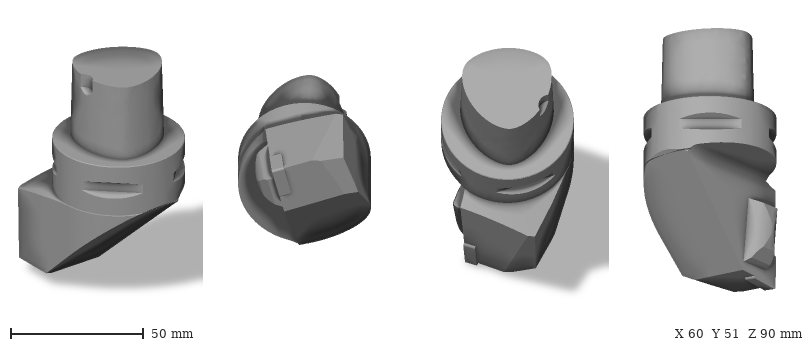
import cadquery as cq
import math

SHANK_HEIGHT = 30.1
SHANK_BASE_RADIUS = 17.6
SHANK_TAPER = 0.025
LOBE_HEIGHT = 1.3
LOBE_POINTS = 48

NOTCH_RADIUS = 4.3
NOTCH_Y = -17.9
NOTCH_DEPTH = 5.4
NOTCH_TIP_DEPTH = 3.6

FLANGE_RADIUS = 25.0
FLANGE_HEIGHT = 20.4
FLANGE_CHAMFER = 0.3

SLOT_COUNT = 4
SLOT_CENTRE_Z = -10.1
SLOT_FLOOR_RADIUS = 22.1
SLOT_FLOOR_WIDTH = 3.6
SLOT_MOUTH_WIDTH = 6.75
SLOT_DEPTH = FLANGE_RADIUS - SLOT_FLOOR_RADIUS

HEAD_BOTTOM = -63.0
HEAD_LEFT = -40.5
HEAD_BACK = 13.5
FRONT_Y = -26.0
FRONT_BLEND = 0.5
FRONT_LEFT_X = -27.5
FRONT_LOW_Z = -53.8
TANGENT_ANGLE = math.radians(3.8)
SHOULDER_SLOPE = 0.29
SHOULDER_Z = -20.9
SHOULDER_OUTER_RADIUS = 54.0

DIAGONAL_TOP_Z = -19.3
DIAGONAL_LOW_X = -15.3
DIAGONAL_LOW_Z = -57.9

SIDE_TOP = (-31.1, 4.5, -22.95)
SIDE_LOW = (-34.0, 0.9, -58.6)
CORNER_TOP = (-28.8, -24.75, -24.3)
CORNER_LOW = (-32.8, -15.4, -57.0)
FRONT_LOW = (FRONT_LEFT_X, FRONT_Y, FRONT_LOW_Z)
END_LEFT = (-32.8, -18.2, -57.4)
END_RIGHT = (-15.3, 4.5, -57.8)
BEVEL_RIGHT = (-11.7, -24.1, -54.9)

TIP = (-35.1, 0.0, -60.0)
RAKE_LEAN = 5.5
RAKE_TURN = 6.5
LEDGE_HEIGHT = 40.8
LEDGE_TILT = 11.0
LEDGE_FILLET = 4.5

INSERT_SIDE = 12.9
INSERT_THICKNESS = 4.7
INSERT_LEAD = 5.0
INSERT_NOSE = 0.8

CLAMP_LEFT = 6.7
CLAMP_WIDTH = 13.5
CLAMP_TOP = (0, 30.6)
CLAMP_BACK_START = (5.4, 28.8)
CLAMP_BACK_MIDDLE = (7.4, 21.6)
CLAMP_BACK_END = (6.2, 11.7)
CLAMP_NOSE = (2.9, 7.2)
CLAMP_FOOT = (0, 5.8)
CLAMP_SHOULDER_INSET = 3.6
CLAMP_SHOULDER_HEIGHT = 6.3
CLAMP_HEIGHT = 7.6
CLAMP_WALL_HEIGHT = 4.3
CLAMP_WALL_LEAN = 1.6

TRIM = 180.0


def outside(a, b, c):
    """Block lying on the side of plane a-b-c towards which (b-a) x (c-a) points."""
    a, b, c = cq.Vector(*a), cq.Vector(*b), cq.Vector(*c)
    plane = cq.Plane(origin=a, xDir=b - a, normal=(b - a).cross(c - a))
    return cq.Workplane(plane).rect(TRIM, TRIM).extrude(TRIM)


def to_rake(body):
    """Move a body from the rake frame to its place on the part."""
    leaned = body.rotate((0, 0, 0), (1, 0, 0), -RAKE_LEAN)
    return leaned.rotate((0, 0, 0), (0, 0, 1), RAKE_TURN).translate(TIP)


def lobed_point(mean_radius, angle):
    """Point of the constant-width lobed outline whose normal has this angle."""
    phase = 3 * (angle - math.pi / 2)
    support = mean_radius + LOBE_HEIGHT * math.cos(phase)
    slope = -3 * LOBE_HEIGHT * math.sin(phase)
    x = support * math.cos(angle) - slope * math.sin(angle)
    y = support * math.sin(angle) + slope * math.cos(angle)
    return (x, y)


def lobed_outline(mean_radius):
    step = 2 * math.pi / LOBE_POINTS
    return [lobed_point(mean_radius, i * step) for i in range(LOBE_POINTS)]


def make_shank():
    top_radius = SHANK_BASE_RADIUS - SHANK_TAPER * SHANK_HEIGHT
    shank = (
        cq.Workplane("XY")
        .spline(lobed_outline(SHANK_BASE_RADIUS), periodic=True).close()
        .workplane(offset=SHANK_HEIGHT)
        .spline(lobed_outline(top_radius), periodic=True).close()
        .loft(ruled=True)
    )
    wall_end = SHANK_HEIGHT - NOTCH_DEPTH
    notch = (
        cq.Workplane("XZ")
        .polyline([
            (0, SHANK_HEIGHT),
            (NOTCH_RADIUS, SHANK_HEIGHT),
            (NOTCH_RADIUS, wall_end),
            (0, wall_end - NOTCH_TIP_DEPTH),
        ])
        .close().revolve(360, (0, 0), (0, 1))
        .translate((0, NOTCH_Y, 0))
    )
    return shank.cut(notch)


def make_slot():
    """Straight slot with flared sides, cut into the +X side of the flange."""
    floor = SLOT_FLOOR_WIDTH / 2
    mouth = SLOT_MOUTH_WIDTH / 2
    return (
        cq.Workplane("XZ")
        .polyline([
            (SLOT_FLOOR_RADIUS, SLOT_CENTRE_Z - floor),
            (SLOT_FLOOR_RADIUS + SLOT_DEPTH, SLOT_CENTRE_Z - mouth),
            (SLOT_FLOOR_RADIUS + SLOT_DEPTH, SLOT_CENTRE_Z + mouth),
            (SLOT_FLOOR_RADIUS, SLOT_CENTRE_Z + floor),
        ])
        .close().extrude(FLANGE_RADIUS, both=True)
    )


def make_flange():
    flange = cq.Workplane("XY").circle(FLANGE_RADIUS).extrude(-FLANGE_HEIGHT)
    flange = flange.faces(">Z").edges().chamfer(FLANGE_CHAMFER)
    pitch = 360 / SLOT_COUNT
    for i in range(SLOT_COUNT):
        flange = flange.cut(make_slot().rotate((0, 0, 0), (0, 0, 1), pitch * (i + 0.5)))
    return flange


def make_head_blank():
    """Head outline under a conical shoulder, before its planes are cut."""
    tangent_x = FLANGE_RADIUS * math.sin(TANGENT_ANGLE)
    tangent_y = -FLANGE_RADIUS * math.cos(TANGENT_ANGLE)
    bend_x = tangent_x - (tangent_y - FRONT_Y) / math.tan(TANGENT_ANGLE)
    blend_end = (
        bend_x + FRONT_BLEND * math.cos(TANGENT_ANGLE),
        FRONT_Y + FRONT_BLEND * math.sin(TANGENT_ANGLE),
    )
    outline = (
        cq.Workplane("XY")
        .moveTo(HEAD_LEFT, FRONT_Y)
        .lineTo(bend_x - FRONT_BLEND, FRONT_Y)
        .tangentArcPoint(blend_end, relative=False)
        .lineTo(tangent_x, tangent_y)
        .threePointArc((FLANGE_RADIUS, 0), (0, FLANGE_RADIUS))
        .lineTo(0, HEAD_BACK)
        .lineTo(HEAD_LEFT, HEAD_BACK)
        .close().extrude(HEAD_BOTTOM)
    )
    outer_z = SHOULDER_Z - SHOULDER_SLOPE * (SHOULDER_OUTER_RADIUS - FLANGE_RADIUS)
    apex_z = SHOULDER_Z + SHOULDER_SLOPE * FLANGE_RADIUS
    shoulder = (
        cq.Workplane("XZ")
        .polyline([
            (0, apex_z),
            (SHOULDER_OUTER_RADIUS, outer_z),
            (SHOULDER_OUTER_RADIUS, 2 * HEAD_BOTTOM),
            (0, 2 * HEAD_BOTTOM),
        ])
        .close().revolve(360, (0, 0), (0, 1))
    )
    return outline.intersect(shoulder)


def trim_head(head):
    """Cut the side, its front corner, the end and the end's front bevel."""
    head = head.cut(outside(SIDE_TOP, SIDE_LOW, CORNER_LOW))
    head = head.cut(outside(CORNER_TOP, CORNER_LOW, FRONT_LOW))
    head = head.cut(outside(SIDE_LOW, END_RIGHT, END_LEFT))
    return head.cut(outside(FRONT_LOW, END_LEFT, BEVEL_RIGHT))


def make_diagonal_cut():
    """Everything below the sloping underside of the head."""
    high = (FLANGE_RADIUS, 0, DIAGONAL_TOP_Z)
    low = (DIAGONAL_LOW_X, 0, DIAGONAL_LOW_Z)
    across = (FLANGE_RADIUS, 0.9, DIAGONAL_TOP_Z)
    return outside(high, low, across)


def make_rake_cut():
    """Space in front of the rake face, below the filleted ledge."""
    rise = TRIM * math.tan(math.radians(LEDGE_TILT))
    space = (
        cq.Workplane("YZ")
        .polyline([
            (0, LEDGE_HEIGHT - TRIM),
            (0, LEDGE_HEIGHT),
            (TRIM, LEDGE_HEIGHT + rise),
            (TRIM, LEDGE_HEIGHT - TRIM),
        ])
        .close().extrude(TRIM, both=True)
    )
    ledge_root = space.faces("<Y").edges(">Z")
    return to_rake(ledge_root.fillet(LEDGE_FILLET))


def make_clamp():
    """Rounded hump that stands on the rake face and holds the insert."""
    right_shoulder = (CLAMP_WIDTH - CLAMP_SHOULDER_INSET, CLAMP_SHOULDER_HEIGHT)
    right_wall_top = (CLAMP_WIDTH - CLAMP_WALL_LEAN, CLAMP_WALL_HEIGHT)
    side_profile = (
        cq.Workplane("YZ")
        .moveTo(*CLAMP_TOP)
        .lineTo(*CLAMP_BACK_START)
        .threePointArc(CLAMP_BACK_MIDDLE, CLAMP_BACK_END)
        .lineTo(*CLAMP_NOSE)
        .lineTo(*CLAMP_FOOT)
        .close().extrude(CLAMP_WIDTH)
    )
    plan = (
        cq.Workplane("XY")
        .moveTo(0, 0)
        .lineTo(CLAMP_WALL_LEAN, CLAMP_WALL_HEIGHT)
        .threePointArc((CLAMP_SHOULDER_INSET, CLAMP_SHOULDER_HEIGHT), (CLAMP_WIDTH / 2, CLAMP_HEIGHT))
        .threePointArc(right_shoulder, right_wall_top)
        .lineTo(CLAMP_WIDTH, 0)
        .close().extrude(TRIM)
    )
    hump = side_profile.intersect(plan)
    return to_rake(hump.translate((CLAMP_LEFT, 0, 0)))


def make_insert():
    """Rhombic cutting plate with its sharp corner at the tip."""
    along = INSERT_SIDE * math.cos(math.radians(INSERT_LEAD))
    across = INSERT_SIDE * math.sin(math.radians(INSERT_LEAD))
    plate = (
        cq.Workplane("XZ")
        .polyline([
            (0, 0),
            (along, across),
            (along + across, along + across),
            (across, along),
        ])
        .close().extrude(INSERT_THICKNESS)
    )
    return to_rake(plate.edges("|Y").fillet(INSERT_NOSE))


insert = make_insert()
housing = make_flange().union(trim_head(make_head_blank()))
housing = housing.cut(make_diagonal_cut()).cut(make_rake_cut())
housing = housing.union(make_shank()).union(make_clamp()).cut(insert)

result = cq.Compound.makeCompound([housing.val(), insert.val()])